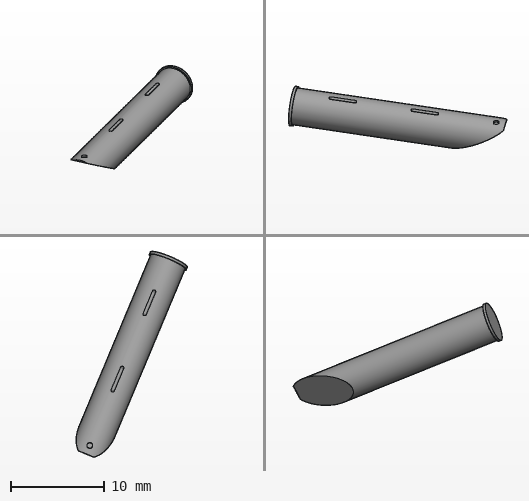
import cadquery as cq
import math

length = 23.3
flange_diameter = 4.3
flange_thickness = 0.3
body_diameter = 4.0

tip_height = 0.2
tip_angle = 30.0

groove_length = 3.0
groove_radius = 0.19
groove_distances = (5.5, 14.5)

hole_diameter = 0.6
hole_depth = 0.25
hole_from_tip = 1.0

body_radius = body_diameter / 2
back_y = length / 2
tip_y = -length / 2


def make_body():
    """Cylinder with a thin flange at its back end."""
    back = cq.Workplane("XZ", origin=(0, back_y, 0))
    body = back.circle(body_radius).extrude(length)
    flange = back.circle(flange_diameter / 2).extrude(flange_thickness)
    return body.union(flange)


def make_tip_cutter():
    """Wedge below the slanted tip face."""
    slope_top = body_radius - tip_height
    slope_bottom = -flange_diameter / 2
    slope_run = (slope_top - slope_bottom) / math.tan(math.radians(tip_angle))
    return (
        cq.Workplane("YZ")
        .moveTo(tip_y, slope_top)
        .lineTo(tip_y + slope_run, slope_bottom)
        .lineTo(tip_y, slope_bottom)
        .close()
        .extrude(flange_diameter / 2, both=True)
    )


def make_groove_cutter(distance):
    """Ball-ended rod sunk to its centre line in the top of the body."""
    straight_length = groove_length - 2 * groove_radius
    center_y = back_y - distance
    rod_back_y = center_y + straight_length / 2
    rod_front_y = center_y - straight_length / 2
    rod = (
        cq.Workplane("XZ", origin=(0, rod_back_y, body_radius))
        .circle(groove_radius)
        .extrude(straight_length)
    )
    for end_y in (rod_back_y, rod_front_y):
        ball = cq.Workplane("XY").sphere(groove_radius).translate((0, end_y, body_radius))
        rod = rod.union(ball)
    return rod


def make_hole_cutter():
    """Flat-bottomed hole sunk straight down from the top of the body."""
    return (
        cq.Workplane("XY", origin=(0, tip_y + hole_from_tip, body_radius))
        .circle(hole_diameter / 2)
        .extrude(-hole_depth)
    )


result = make_body().cut(make_tip_cutter())
for groove_distance in groove_distances:
    result = result.cut(make_groove_cutter(groove_distance))
result = result.cut(make_hole_cutter())